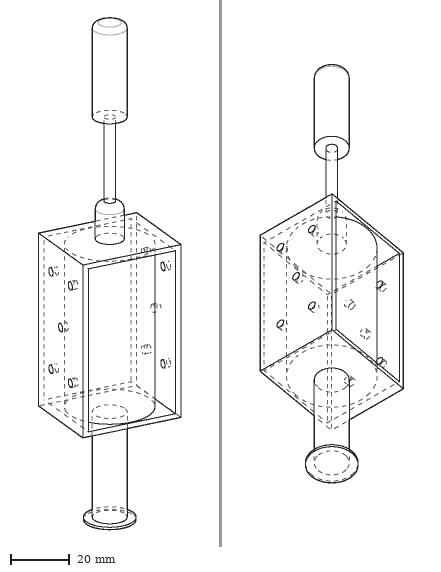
import cadquery as cq

frame_width = 32.0
frame_depth = 38.0
frame_height = 64.0
side_wall = 2.2
end_wall = 1.8

plunger_length = 40.0
plunger_diameter = 12.0
disc_diameter = 18.0
disc_thickness = 1.0
coil_diameter = 31.0
bushing_length = 14.0
bushing_diameter = 10.0
bushing_fillet = 3.0
rod_diameter = 4.0
handle_length = 35.0
handle_diameter = 12.0
handle_fillet = 2.0
total_height = 184.0

hole_diameter = 3.0
hole_center_height = 35.0
hole_offset_x = 7.0
hole_offset_z = 18.0

frame_bottom = plunger_length
frame_top = frame_bottom + frame_height
bushing_top = frame_top + bushing_length
handle_bottom = total_height - handle_length


def cylinder(diameter, bottom, top):
    """Upright cylinder on the Z axis between two heights."""
    return cq.Workplane("XY").workplane(offset=bottom).circle(diameter / 2).extrude(top - bottom)


def make_frame():
    """Open frame with mounting holes through its two side walls."""
    middle = (0, 0, frame_bottom + frame_height / 2)
    outside = cq.Workplane("XY").box(frame_width, frame_depth, frame_height).translate(middle)
    opening = (
        cq.Workplane("XY")
        .box(frame_width, frame_depth - 2 * side_wall, frame_height - 2 * end_wall)
        .translate(middle)
    )
    hole_points = [(0, 0)]
    for x in (-hole_offset_x, hole_offset_x):
        for z in (-hole_offset_z, hole_offset_z):
            hole_points.append((x, z))
    holes = (
        cq.Workplane("XZ", origin=(0, 0, frame_bottom + hole_center_height))
        .pushPoints(hole_points)
        .circle(hole_diameter / 2)
        .extrude(frame_depth / 2, both=True)
    )
    return outside.cut(opening).cut(holes)


disc = cylinder(disc_diameter, 0, disc_thickness)
plunger = cylinder(plunger_diameter, 0, frame_bottom)
coil = cylinder(coil_diameter, frame_bottom + end_wall, frame_top - end_wall)
bushing = cylinder(bushing_diameter, frame_top, bushing_top).faces(">Z").edges().fillet(bushing_fillet)
rod = cylinder(rod_diameter, frame_top, handle_bottom)
handle = cylinder(handle_diameter, handle_bottom, total_height).faces(">Z").edges().fillet(handle_fillet)

result = make_frame()
for part in (coil, plunger, disc, bushing, rod, handle):
    result = result.union(part)